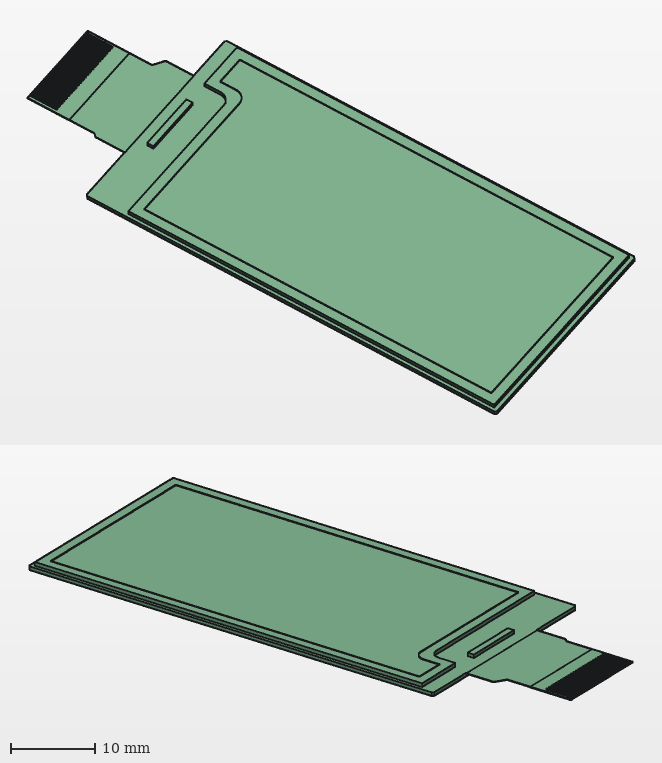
import cadquery as cq

total_length = 73.5
glass_length = 59.2
glass_width = 29.2
glass_height = 0.5
glass_corner = 0.22
glass_right = total_length / 2
glass_left = glass_right - glass_length
glass_back = glass_width / 2

total_height = 1.0
window_depth = 0.1
laminate_margin = 0.5
laminate_left = glass_left + 2.0
laminate_main_left = glass_left + 5.8
laminate_right = glass_right - 0.6
laminate_front = -glass_back + laminate_margin
laminate_back = glass_back - laminate_margin
laminate_notch = 7.3
laminate_notch_radius = 1.5
window_inset = 1.35

chip_length = 0.9
chip_width = 8.2
chip_left = glass_left + 1.6
chip_top = 0.95

tail_thickness = 0.1
tail_left = -total_length / 2
tail_center = 0.2
tail_width = 12.6
tail_front = tail_center - tail_width / 2
tail_back = tail_center + tail_width / 2
shoulder_front = -6.5
shoulder_back = 7.95
front_shoulder_left = tail_left + 10.1
back_shoulder_left = tail_left + 10.25
front_taper = 0.45
back_taper = 0.95
tail_overlap = 1.0

contact_count = 24
contact_pitch = 0.5
contact_width = 0.25
contact_length = 3.75
contact_setback = 0.16
contact_height = 0.1
stiffener_length = 6.0
stiffener_thickness = 0.03


def block(left, front, bottom, length, width, height):
    """Box placed by its left, front, bottom corner."""
    return cq.Workplane("XY").box(length, width, height, centered=False).translate((left, front, bottom))


def make_glass():
    plate = block(glass_left, -glass_back, 0, glass_length, glass_width, glass_height)
    return plate.edges("|Z").chamfer(glass_corner)


def make_notched_sheet(inset, bottom, top):
    """Laminate plan with its rounded notch, shrunk by inset on every side."""
    left = laminate_left + inset
    main_left = laminate_main_left + inset
    right = laminate_right - inset
    front = laminate_front + inset
    back = laminate_back - inset
    notch = laminate_notch + inset
    radius = laminate_notch_radius
    return (
        cq.Workplane("XY", origin=(0, 0, bottom))
        .moveTo(main_left, front)
        .lineTo(right, front)
        .lineTo(right, back)
        .lineTo(left, back)
        .lineTo(left, notch)
        .lineTo(main_left - radius, notch)
        .radiusArc((main_left, notch - radius), radius)
        .close()
        .extrude(top - bottom)
    )


def make_laminate():
    """Sheet with a shallow recessed display window that follows its outline."""
    sheet = make_notched_sheet(0, glass_height, total_height)
    window = make_notched_sheet(window_inset, total_height - window_depth, total_height)
    return sheet.cut(window)


def make_chip():
    return block(chip_left, -chip_width / 2, glass_height, chip_length, chip_width, chip_top - glass_height)


def make_tail():
    """Tapered tail, flush with the glass top and let into its left edge."""
    root = glass_left + tail_overlap
    return (
        cq.Workplane("XY", origin=(0, 0, glass_height - tail_thickness))
        .moveTo(tail_left, tail_front)
        .lineTo(front_shoulder_left - front_taper, tail_front)
        .lineTo(front_shoulder_left, shoulder_front)
        .lineTo(root, shoulder_front)
        .lineTo(root, shoulder_back)
        .lineTo(back_shoulder_left, shoulder_back)
        .lineTo(back_shoulder_left - back_taper, tail_back)
        .lineTo(tail_left, tail_back)
        .close()
        .extrude(tail_thickness)
    )


def make_stiffener():
    bottom = glass_height - tail_thickness - stiffener_thickness
    return block(tail_left, tail_front, bottom, stiffener_length, tail_width, stiffener_thickness)


def make_contacts():
    row_span = (contact_count - 1) * contact_pitch + contact_width
    row_front = tail_center - row_span / 2
    contacts = cq.Workplane("XY")
    for index in range(contact_count):
        front = row_front + index * contact_pitch
        finger = block(
            tail_left + contact_setback, front, glass_height, contact_length, contact_width, contact_height
        )
        contacts = contacts.add(finger)
    return contacts.combine()


result = (
    make_glass()
    .union(make_laminate())
    .union(make_chip())
    .union(make_tail())
    .union(make_stiffener())
    .union(make_contacts())
)